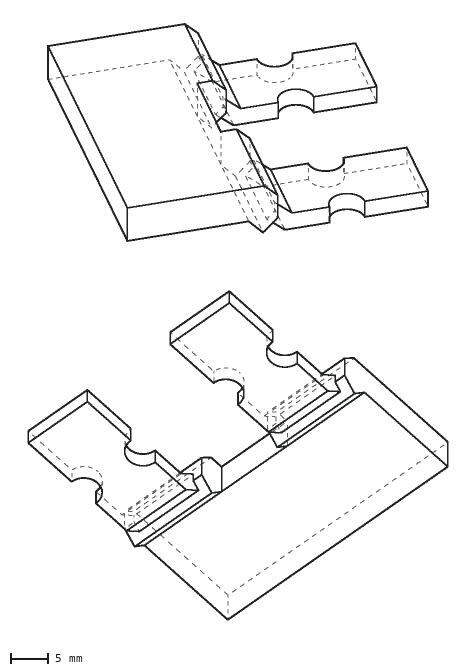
import cadquery as cq
import math

body_width = 39.5
total_length = 42.5
total_height = 9.0
body_underside = 3.55

lug_width = 13.85
lug_start = 16.95
lug_end = 21.0
top_chamfer = 1.85
lip_reach = 2.05
lip_tip_height = 1.35

leg_inset = 1.7
leg_width = 10.62
leg_thickness = 2.6
bend_angle = math.radians(42)
lower_bend = 22.5
notch_radius = 2.45
notch_position = 31.2


def extrude_profile(points, x_start, width):
    """Extrude a (Y, Z) outline along +X."""
    return cq.Workplane("YZ").workplane(offset=x_start).polyline(points).close().extrude(width)


def make_body():
    outline = [
        (0, body_underside),
        (lug_start, body_underside),
        (lug_start, total_height),
        (0, total_height),
    ]
    return extrude_profile(outline, -body_width / 2, body_width)


def make_lug(x_start):
    outline = [
        (lug_start, total_height),
        (lug_end - top_chamfer, total_height),
        (lug_end, total_height - top_chamfer),
        (lug_end, lip_tip_height + lip_reach),
        (lug_end - lip_reach, lip_tip_height),
        (lug_start, body_underside),
    ]
    return extrude_profile(outline, x_start, lug_width)


def make_leg(x_start):
    upper_bend = lower_bend + leg_thickness * math.tan(bend_angle / 2)
    lug_middle = (lug_start + lug_end) / 2
    slope = math.tan(bend_angle)
    outline = [
        (total_length, 0),
        (total_length, leg_thickness),
        (upper_bend, leg_thickness),
        (lug_middle, leg_thickness + (upper_bend - lug_middle) * slope),
        (lug_middle, (lower_bend - lug_middle) * slope),
        (lower_bend, 0),
    ]
    leg = extrude_profile(outline, x_start, leg_width)
    notches = (
        cq.Workplane("XY")
        .pushPoints([(x_start, notch_position), (x_start + leg_width, notch_position)])
        .circle(notch_radius)
        .extrude(leg_thickness)
    )
    return leg.cut(notches)


left_side = make_lug(-body_width / 2).union(make_leg(-body_width / 2 + leg_inset))
right_side = (
    make_lug(body_width / 2 - lug_width)
    .union(make_leg(body_width / 2 - leg_inset - leg_width))
)
result = make_body().union(left_side).union(right_side)